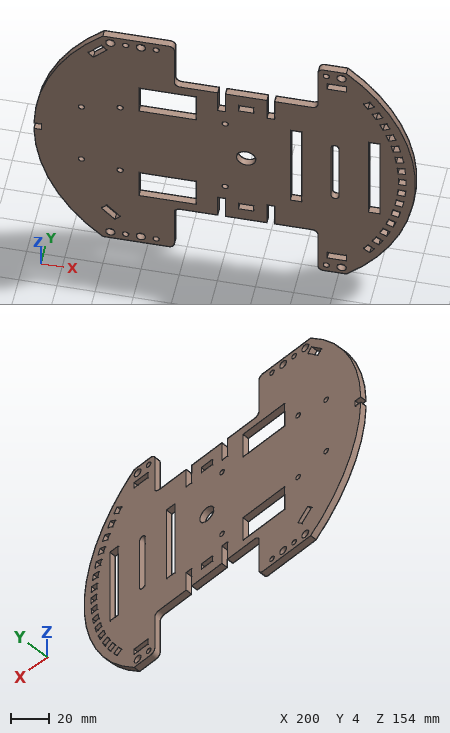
import cadquery as cq
import math

thickness = 4.0
disc_radius = 100.0
plate_height = 154.0

wheel_x = 11.27
wheel_cutout_width = 75.2
waist_half_height = 47.0
outer_corner_radius = 3.0
inner_corner_radius = 3.0

tab_width = 4.0
edge_slot_spacing = 25.8
edge_slot_end_z = 33.4
tab_hole_length = 8.0
tab_hole_z = 37.6
rear_notch_depth = 4.0

window_length = 30.0
window_height = 17.5
window_x = -29.9
window_z = 32.45

tall_slot_width = 6.0
tall_slot_height = 53.5
tall_slot_xs = (37.4, 78.3)
round_slot_width = 4.0
round_slot_height = 40.5
round_slot_x = 57.85

bracket_slot_length = 10.0
bracket_slot_width = 4.0
front_bracket_x = 58.75
front_bracket_z = 64.85
rear_bracket_angle = 45.0
upper_rear_bracket = (-66.65, 64.6)
lower_rear_bracket = (-59.6, -57.4)

centre_hole_diameter = 10.0
large_hole_diameter = 4.8
small_hole_diameter = 3.2
edge_hole_z = 72.5
edge_hole_pitch = 8.0
rear_edge_hole_x = -59.85
rear_edge_hole_count = 4
front_edge_hole_x = 53.3
front_edge_hole_count = 2
inner_holes = ((-75.0, 20.0), (-54.75, 24.0), (0.3, 24.0))

sensor_size = 4.0
sensor_ring_radius = 95.4
sensor_ring_centre_x = -2.4
sensor_count = 15
sensor_step_angle = 5.025


def prism(sketch):
    """Extrude a sketched outline through the plate, centred on Y = 0."""
    return sketch.extrude(thickness / 2, both=True)


def box_at(x, z, length, height, angle=0.0):
    """Through-cutter with a rectangular outline, turned from X towards Z."""
    box = cq.Workplane("XY").box(length, thickness, height)
    return box.rotate((0, 0, 0), (0, -1, 0), angle).translate((x, 0, z))


def round_holes(points, diameter):
    return prism(cq.Workplane("XZ").pushPoints(points).circle(diameter / 2))


def mirrored(points):
    """The given (x, z) points together with their images below Z = 0."""
    return [(x, side * z) for x, z in points for side in (1, -1)]


def make_blank():
    disc = prism(cq.Workplane("XZ").circle(disc_radius))
    return disc.intersect(box_at(0, 0, 2 * disc_radius, plate_height))


def round_corners(plate, corner_xs, height, radius):
    """Fillet the edges through the thickness at each x, at +height and -height."""
    for x, z in mirrored([(x, height) for x in corner_xs]):
        corner = cq.selectors.NearestToPointSelector((x, 0, z))
        plate = plate.edges(corner).fillet(radius)
    return plate


def cut_wheel_cutouts(plate):
    depth = plate_height / 2 - waist_half_height
    centre_z = waist_half_height + depth / 2
    for x, z in mirrored([(wheel_x, centre_z)]):
        plate = plate.cut(box_at(x, z, wheel_cutout_width, depth))
    corner_xs = [wheel_x + side * wheel_cutout_width / 2 for side in (-1, 1)]
    plate = round_corners(plate, corner_xs, plate_height / 2, outer_corner_radius)
    return round_corners(plate, corner_xs, waist_half_height, inner_corner_radius)


def cut_tab_openings(plate):
    slot_depth = waist_half_height - edge_slot_end_z
    slot_z = edge_slot_end_z + slot_depth / 2
    slot_xs = [wheel_x + side * edge_slot_spacing / 2 for side in (-1, 1)]
    for x, z in mirrored([(x, slot_z) for x in slot_xs]):
        plate = plate.cut(box_at(x, z, tab_width, slot_depth))
    for x, z in mirrored([(wheel_x, tab_hole_z)]):
        plate = plate.cut(box_at(x, z, tab_hole_length, tab_width))
    return plate.cut(box_at(-disc_radius, 0, 2 * rear_notch_depth, tab_width))


def cut_windows_and_slots(plate):
    for x, z in mirrored([(window_x, window_z)]):
        plate = plate.cut(box_at(x, z, window_length, window_height))
    for x in tall_slot_xs:
        plate = plate.cut(box_at(x, 0, tall_slot_width, tall_slot_height))
    round_slot = cq.Workplane("XZ").center(round_slot_x, 0).slot2D(round_slot_height, round_slot_width, 90)
    return plate.cut(prism(round_slot))


def cut_bracket_slots(plate):
    places = [(x, z, 0.0) for x, z in mirrored([(front_bracket_x, front_bracket_z)])]
    places.append((*upper_rear_bracket, rear_bracket_angle))
    places.append((*lower_rear_bracket, -rear_bracket_angle))
    for x, z, angle in places:
        plate = plate.cut(box_at(x, z, bracket_slot_length, bracket_slot_width, angle))
    return plate


def cut_round_holes(plate):
    rear_xs = [rear_edge_hole_x + index * edge_hole_pitch for index in range(rear_edge_hole_count)]
    front_xs = [front_edge_hole_x + index * edge_hole_pitch for index in range(front_edge_hole_count)]
    large_xs = rear_xs[0::2] + front_xs[1:]
    small_xs = rear_xs[1::2] + front_xs[:1]
    large_points = mirrored([(x, edge_hole_z) for x in large_xs])
    small_points = mirrored([(x, edge_hole_z) for x in small_xs] + list(inner_holes))
    plate = plate.cut(round_holes([(wheel_x, 0)], centre_hole_diameter))
    plate = plate.cut(round_holes(large_points, large_hole_diameter))
    return plate.cut(round_holes(small_points, small_hole_diameter))


def cut_sensor_openings(plate):
    for index in range(sensor_count):
        angle = (index - (sensor_count - 1) / 2) * sensor_step_angle
        x = sensor_ring_centre_x + sensor_ring_radius * math.cos(math.radians(angle))
        z = sensor_ring_radius * math.sin(math.radians(angle))
        plate = plate.cut(box_at(x, z, sensor_size, sensor_size, angle))
    return plate


plate = make_blank()
plate = cut_wheel_cutouts(plate)
plate = cut_tab_openings(plate)
plate = cut_windows_and_slots(plate)
plate = cut_bracket_slots(plate)
plate = cut_round_holes(plate)
result = cut_sensor_openings(plate)